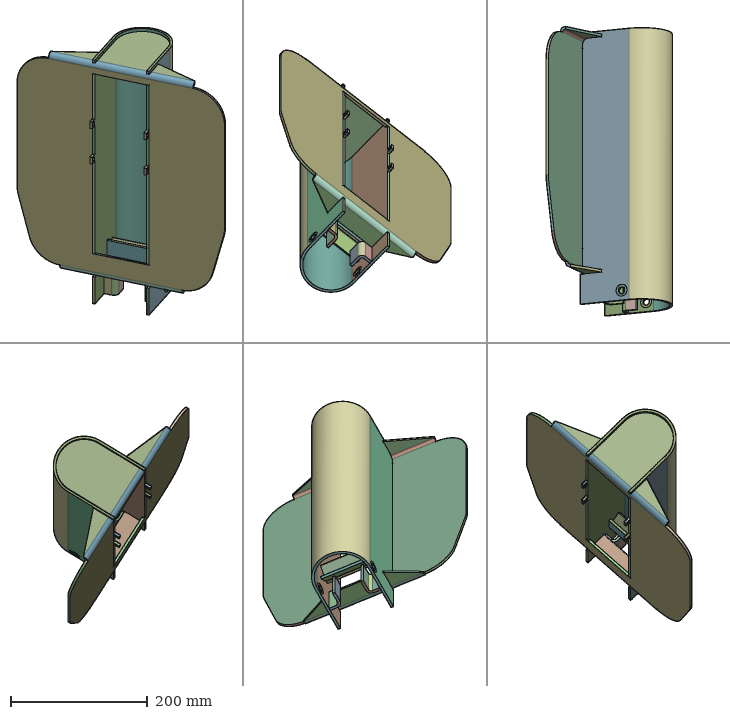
import cadquery as cq
import math

sheet = 3.98
bend_radius = 8.0

shell_height = 406.0
shell_depth = 123.5
shell_half_width = 45.0
shell_inner_half_width = shell_half_width - sheet
wall_starts_x = (-shell_half_width, shell_inner_half_width)
arc_center_y = shell_depth - shell_half_width
relief_radius = 9.0

lug_reach = 9.7
lug_height = 11.0
lug_hole_diameter = 6.0
lug_hole_reach = 4.0
lug_centers_z = (243.5, 302.5)

plate_width = 330.0
plate_half_width = plate_width / 2
plate_top = 401.0
plate_bottom = 44.5
window_top = 383.0
window_bottom = 83.2
corner_radius = 50.0
taper_angle = 15.0
taper_start_z = 163.0
flange_depth = 34.5

bushing_y = 66.5
bushing_z = 14.5
bushing_diameter = 17.5
bore_diameter = 10.0

bracket_front_y = flange_depth
bracket_inner_x = 21.0
bracket_leg = 25.0

strip_front_y = 44.3
strip_bottom = 59.0
strip_height = 25.0
catch_angle_z = 61.0
catch_leg = 25.5
catch_edge_radius = 4.0
catch_joint = 0.2

flat_top = plate_top - bend_radius
flat_bottom = plate_bottom + bend_radius
taper = math.radians(taper_angle)
bottom_corner_x = plate_half_width - (taper_start_z - flat_bottom) * math.tan(taper)
bottom_corner_tangent = corner_radius * math.tan((math.pi / 2 - taper) / 2)
top_flange_half_width = plate_half_width - corner_radius
bottom_flange_half_width = bottom_corner_x - bottom_corner_tangent


def box(x_range, y_range, z_range):
    """Box between the given limits."""
    sizes = [high - low for low, high in (x_range, y_range, z_range)]
    corner = (x_range[0], y_range[0], z_range[0])
    return cq.Workplane("XY").box(*sizes, centered=False).translate(corner)


def u_prism(half_width, bottom, top):
    """Upright prism with a straight front at Y = 0 and a half-round back."""
    return (
        cq.Workplane("XY", origin=(0, 0, bottom))
        .moveTo(-half_width, 0)
        .lineTo(half_width, 0)
        .lineTo(half_width, arc_center_y)
        .threePointArc((0, arc_center_y + half_width), (-half_width, arc_center_y))
        .close()
        .extrude(top - bottom)
    )


def cross_cylinder(diameter, y, z, start_x, end_x):
    """Cylinder along X."""
    return (
        cq.Workplane("YZ", origin=(start_x, y, z)).circle(diameter / 2).extrude(end_x - start_x)
    )


def angle_section(leg_a, leg_b, outer_radius, length):
    """L-profile in XY with its outer corner at the origin, legs along +X and +Y, extruded in +Z."""
    section = (
        cq.Workplane("XY")
        .polyline([(0, 0), (leg_a, 0), (leg_a, sheet), (sheet, sheet), (sheet, leg_b), (0, leg_b)])
        .close()
        .extrude(length)
    )
    return section.edges(cq.NearestToPointSelector((0, 0, length / 2))).fillet(outer_radius)


def make_plate():
    """Flat front sheet with a window, bent back into a flange at the top and at the bottom."""
    plate = (
        cq.Workplane("XZ")
        .polyline([
            (-plate_half_width, flat_top),
            (plate_half_width, flat_top),
            (plate_half_width, taper_start_z),
            (bottom_corner_x, flat_bottom),
            (-bottom_corner_x, flat_bottom),
            (-plate_half_width, taper_start_z),
        ])
        .close()
        .extrude(-sheet)
        .edges("|Y")
        .fillet(corner_radius)
    )
    plate = plate.union(make_flange(top_flange_half_width, flat_top, 1))
    plate = plate.union(make_flange(bottom_flange_half_width, flat_bottom, -1))
    cap = u_prism(shell_inner_half_width, plate_top - sheet, plate_top)
    plate = plate.union(cap.intersect(box(
        (-shell_half_width, shell_half_width), (bend_radius, shell_depth), (0, shell_height))))
    return plate.cut(box(
        (-shell_half_width, shell_half_width), (0, sheet), (window_bottom, window_top)))


def make_flange(half_width, bend_start_z, direction):
    """Bend and tapered wing; direction is +1 for the upper flange and -1 for the lower one."""
    inner_radius = bend_radius - sheet
    diagonal = math.sqrt(0.5)
    outer_z = bend_start_z + direction * bend_radius
    inner_z = bend_start_z + direction * inner_radius
    profile = (
        cq.Workplane("YZ", origin=(-half_width, 0, 0))
        .moveTo(0, bend_start_z)
        .threePointArc(
            (bend_radius * (1 - diagonal), bend_start_z + direction * bend_radius * diagonal),
            (bend_radius, outer_z))
        .lineTo(flange_depth, outer_z)
        .lineTo(flange_depth, inner_z)
        .lineTo(bend_radius, inner_z)
        .threePointArc(
            (bend_radius - inner_radius * diagonal, bend_start_z + direction * inner_radius * diagonal),
            (sheet, bend_start_z))
        .close()
        .extrude(2 * half_width)
    )
    outline = (
        cq.Workplane("XY")
        .polyline([
            (-half_width, 0),
            (half_width, 0),
            (half_width, bend_radius),
            (shell_half_width, flange_depth),
            (-shell_half_width, flange_depth),
            (-half_width, bend_radius),
        ])
        .close()
        .extrude(shell_height)
    )
    return profile.intersect(outline)


def plate_notch(window_z, outer_z, direction):
    """Cut through the shell walls for one end of the plate; direction is +1 for the upper end."""
    inner_z = outer_z - direction * sheet
    relief_bulge = relief_radius * (1 - math.sqrt(0.5))
    return (
        cq.Workplane("YZ", origin=(-shell_half_width, 0, 0))
        .moveTo(0, window_z)
        .lineTo(0, outer_z)
        .lineTo(flange_depth, outer_z)
        .lineTo(flange_depth, inner_z)
        .lineTo(sheet + relief_radius, inner_z)
        .threePointArc(
            (sheet + relief_bulge, inner_z - direction * relief_bulge),
            (sheet, inner_z - direction * relief_radius))
        .lineTo(sheet, window_z)
        .close()
        .extrude(2 * shell_half_width)
    )


def make_shell():
    """U-shaped column with hinge lugs, notched for the plate and drilled for the bushings."""
    shell = u_prism(shell_half_width, 0, shell_height)
    shell = shell.cut(u_prism(shell_inner_half_width, 0, shell_height))
    shell = shell.cut(plate_notch(window_top, plate_top, 1))
    shell = shell.cut(plate_notch(window_bottom, plate_bottom, -1))
    for left_x in wall_starts_x:
        for z in lug_centers_z:
            shell = shell.union(box(
                (left_x, left_x + sheet), (-lug_reach, 0), (z - lug_height / 2, z + lug_height / 2)))
    for z in lug_centers_z:
        shell = shell.cut(cross_cylinder(
            lug_hole_diameter, -lug_hole_reach, z, -shell_half_width, shell_half_width))
    return shell.cut(cross_cylinder(
        bushing_diameter, bushing_y, bushing_z, -shell_half_width, shell_half_width))


def make_bushing(start_x):
    """Ring filling the hole in one side wall."""
    end_x = start_x + sheet
    ring = cross_cylinder(bushing_diameter, bushing_y, bushing_z, start_x, end_x)
    return ring.cut(cross_cylinder(bore_diameter, bushing_y, bushing_z, start_x, end_x))


def make_foot_bracket():
    """Upright angle on the +X wall, its free leg pointing backwards."""
    wall_leg = shell_inner_half_width - bracket_inner_x
    bracket = angle_section(wall_leg, bracket_leg, bend_radius, plate_bottom)
    inner_corner = cq.NearestToPointSelector((sheet, sheet, plate_bottom / 2))
    bracket = bracket.edges(inner_corner).fillet(bend_radius - sheet)
    return bracket.translate((bracket_inner_x, bracket_front_y, 0))


def make_catch():
    """Upright strip with a 45 degree angle behind it, its rounded edge set on the strip."""
    walls = (-shell_inner_half_width, shell_inner_half_width)
    strip_back_y = strip_front_y + sheet
    strip = box(walls, (strip_front_y, strip_back_y), (strip_bottom, strip_bottom + strip_height))
    corner_setback = catch_edge_radius * (math.sqrt(2) - 1)
    angle = (
        angle_section(catch_leg, catch_leg, catch_edge_radius, 2 * shell_inner_half_width)
        .rotate((0, 0, 0), (0, 0, 1), -45)
        .rotate((0, 0, 0), (1, 1, 1), 120)
        .translate((-shell_inner_half_width, strip_back_y - corner_setback - catch_joint, catch_angle_z))
    )
    return strip.union(angle)


shell = make_shell()
plate = make_plate()
catch = make_catch()
bushings = [make_bushing(x) for x in wall_starts_x]
right_bracket = make_foot_bracket()
brackets = [right_bracket, right_bracket.mirror("YZ")]

result = cq.Compound.makeCompound([
    shell.val(),
    plate.val(),
    catch.val(),
    *[bushing.val() for bushing in bushings],
    *[bracket.val() for bracket in brackets],
])